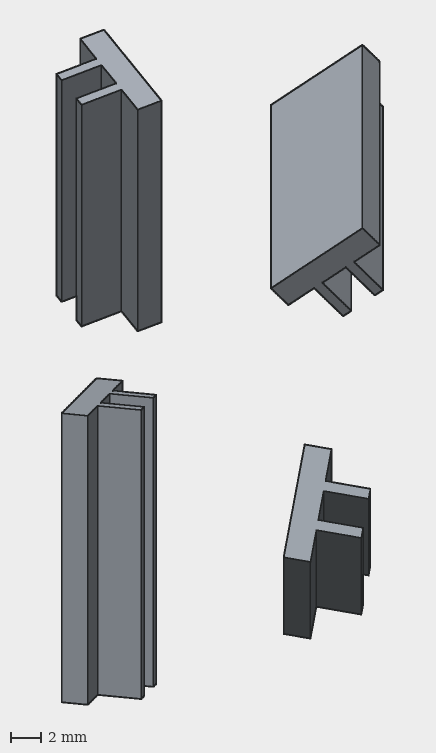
import cadquery as cq

length = 20
plate_width = 7.8
plate_thickness = 1.8

overall_depth = 4.8
rib_thickness = 0.7
rib_gap = 2
rib_depth = overall_depth - plate_thickness
rib_offset = (rib_gap + rib_thickness) / 2


def upright_block(width, depth, x_center, y_front):
    """Full-length block centred on x_center, reaching back from y_front."""
    return (
        cq.Workplane("XY")
        .center(x_center, y_front + depth / 2)
        .rect(width, depth)
        .extrude(length)
    )


result = upright_block(plate_width, plate_thickness, 0, rib_depth)
for side in (-1, 1):
    result = result.union(upright_block(rib_thickness, rib_depth, side * rib_offset, 0))